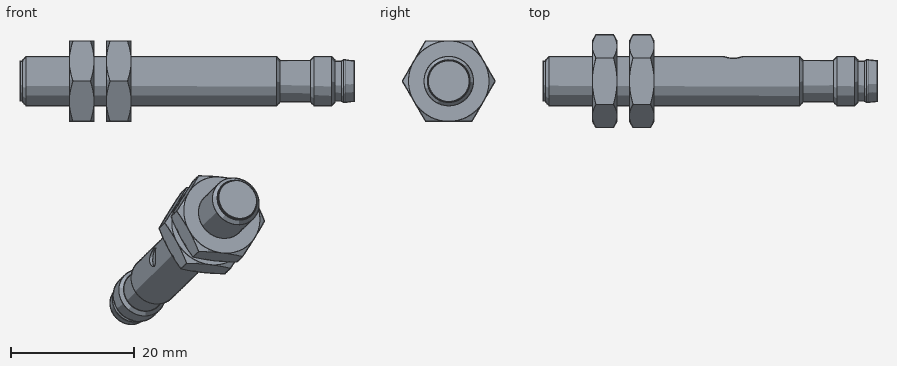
import cadquery as cq
import math

length = 54.0
body_radius = 8.0 / 2
nose_radius = 6.5 / 2
nose_length = 0.4
neck_radius = 6.7 / 2
groove_radius = 6.5 / 2
lip_radius = 6.9 / 2
tip_radius = 6.6 / 2
edge_chamfer = 0.6
chamfer_foot_radius = body_radius - edge_chamfer

barrel_end = 41.4
collar_start = 46.9
collar_end = 50.9
lip_start = 51.9
lip_ramp = 0.3
lip_land = 0.3

window_diameter = 3.0
window_x = 30.7
window_depth = 0.55

nut_across_flats = 13.0
nut_thickness = 4.0
nut_pitch = 6.0
first_nut_x = 7.95
nut_count = 2
nut_chamfer_angle = 30.0


def make_sensor():
    """Turned shaft with a connector tail and a shallow round window."""
    profile = [
        (0, 0),
        (0, nose_radius),
        (nose_length, nose_radius),
        (nose_length, chamfer_foot_radius),
        (nose_length + edge_chamfer, body_radius),
        (barrel_end, body_radius),
        (barrel_end + edge_chamfer, chamfer_foot_radius),
        (barrel_end + edge_chamfer, neck_radius),
        (collar_start, neck_radius),
        (collar_start, chamfer_foot_radius),
        (collar_start + edge_chamfer, body_radius),
        (collar_end - edge_chamfer, body_radius),
        (collar_end, chamfer_foot_radius),
        (collar_end, groove_radius),
        (lip_start, groove_radius),
        (lip_start + lip_ramp, lip_radius),
        (lip_start + lip_ramp + lip_land, lip_radius),
        (length, tip_radius),
        (length, 0),
    ]
    shaft = cq.Workplane("XY").polyline(profile).close().revolve(360, (0, 0, 0), (1, 0, 0))
    window = (
        cq.Workplane("XZ", origin=(window_x, body_radius, 0))
        .circle(window_diameter / 2)
        .extrude(window_depth)
    )
    return shaft.cut(window)


def make_nut(start_x):
    """Hexagon nut with flats facing +Z and -Z, and both faces chamfered at the corners."""
    flat_radius = nut_across_flats / 2
    corner_radius = flat_radius / math.cos(math.pi / 6)
    chamfer_run = (corner_radius - flat_radius) * math.tan(math.radians(nut_chamfer_angle))

    hexagon = (
        cq.Workplane("YZ", origin=(start_x, 0, 0))
        .polygon(6, 2 * corner_radius)
        .circle(body_radius)
        .extrude(nut_thickness)
    )
    end_x = start_x + nut_thickness
    envelope = (
        cq.Workplane("XY")
        .polyline([
            (start_x, 0),
            (start_x, flat_radius),
            (start_x + chamfer_run, corner_radius),
            (end_x - chamfer_run, corner_radius),
            (end_x, flat_radius),
            (end_x, 0),
        ])
        .close()
        .revolve(360, (0, 0, 0), (1, 0, 0))
    )
    return hexagon.intersect(envelope)


sensor = make_sensor()
nuts = [make_nut(first_nut_x + i * nut_pitch) for i in range(nut_count)]

result = cq.Compound.makeCompound([sensor.solids().val(), *[nut.solids().val() for nut in nuts]])